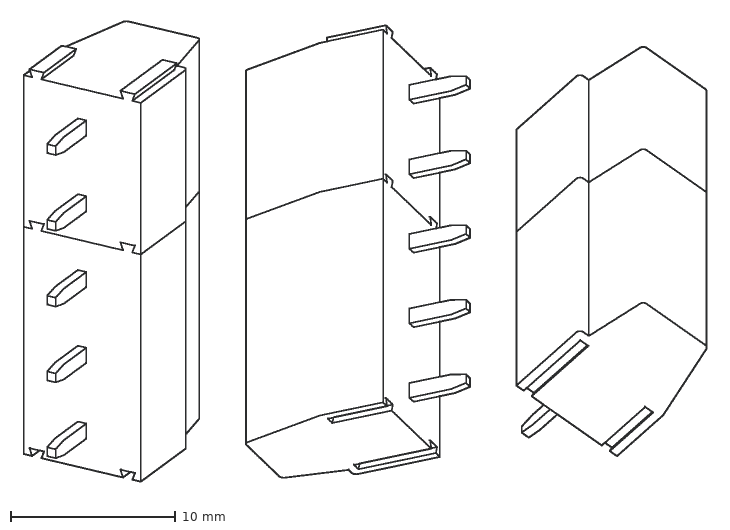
import cadquery as cq


total_height = 25.9
block_width = 8.2
block_depth = 10.0
poles_per_block = [3, 2]

dovetail_height = 0.5
dovetail_tip_width = 1.0
dovetail_neck_width = 0.65
dovetail_side_margin = 0.41
left_dovetail_length = 4.0
right_dovetail_length = 5.2

pole_pitch = (total_height - dovetail_height) / sum(poles_per_block)

left_wall_depth = 4.25
left_slope_inset = 1.48
shelf_depth = 5.8
shelf_width = 0.75
right_slope_inset = 0.73
edge_radius = 0.3

pin_width = 0.6
pin_height = 1.0
pin_tip_height = 0.6
pin_length = 3.8
pin_taper_length = 1.0


def block_body(height):
    """Prism of the block's cross-section, with its convex long edges rounded."""
    shelf_inner_x = block_width - shelf_width
    top_left = (left_slope_inset, block_depth)
    top_right = (shelf_inner_x - right_slope_inset, block_depth)
    shelf_edge = (block_width, shelf_depth)
    body = (
        cq.Workplane("XY")
        .moveTo(0, 0)
        .lineTo(block_width, 0)
        .lineTo(*shelf_edge)
        .lineTo(shelf_inner_x, shelf_depth)
        .lineTo(*top_right)
        .lineTo(*top_left)
        .lineTo(0, left_wall_depth)
        .close()
        .extrude(height)
    )
    for x, y in (top_left, top_right, shelf_edge):
        body = body.edges(cq.selectors.NearestToPointSelector((x, y, height / 2))).fillet(edge_radius)
    return body


def dovetail(center_x, length, base_z):
    """Dovetail bar that widens upwards and runs back from the pin face."""
    half_neck = dovetail_neck_width / 2
    half_tip = dovetail_tip_width / 2
    return (
        cq.Workplane("XZ", origin=(center_x, 0, base_z))
        .moveTo(-half_neck, 0)
        .lineTo(half_neck, 0)
        .lineTo(half_tip, dovetail_height)
        .lineTo(-half_tip, dovetail_height)
        .close()
        .extrude(-length)
    )


def dovetail_pair(base_z):
    """The short left dovetail and the long right dovetail."""
    inset = dovetail_side_margin + dovetail_tip_width / 2
    left = dovetail(inset, left_dovetail_length, base_z)
    right = dovetail(block_width - inset, right_dovetail_length, base_z)
    return left.add(right)


def pin(center_z):
    """Flat pin pointing to -Y, tapered in height towards its tip."""
    half_height = pin_height / 2
    half_tip = pin_tip_height / 2
    taper_start_y = pin_taper_length - pin_length
    return (
        cq.Workplane("YZ", origin=(block_width / 2, 0, center_z))
        .moveTo(0, -half_height)
        .lineTo(taper_start_y, -half_height)
        .lineTo(-pin_length, -half_tip)
        .lineTo(-pin_length, half_tip)
        .lineTo(taper_start_y, half_height)
        .lineTo(0, half_height)
        .close()
        .extrude(pin_width / 2, both=True)
    )


def terminal_block(poles):
    """One block with its base at Z = 0, carrying one pin per pole."""
    height = poles * pole_pitch
    block = block_body(height)
    for slot in dovetail_pair(0).vals():
        block = block.cut(cq.Workplane(slot))
    for rib in dovetail_pair(height).vals():
        block = block.union(cq.Workplane(rib))
    for pole in range(poles):
        block = block.union(pin((pole + 0.5) * pole_pitch))
    return block


terminal_blocks = []
base_z = 0
for poles in poles_per_block:
    block = terminal_block(poles).translate((0, 0, base_z))
    terminal_blocks.append(block.solids().val())
    base_z += poles * pole_pitch

result = cq.Compound.makeCompound(terminal_blocks)